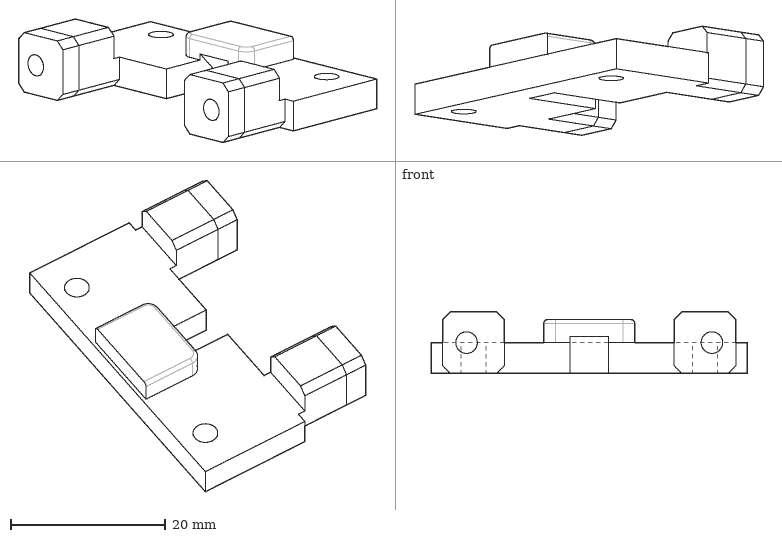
import cadquery as cq

plate_width = 41.0
plate_depth = 15.5
plate_height = 4.0
mount_spacing = 30.0
mount_hole_diameter = 3.2
mount_hole_inset = 3.68

overall_depth = 26.0
arm_size = 8.0
arm_chamfer = 1.0
arm_step_gap = 1.0
cap_thickness = 3.0
cap_hole_diameter = 2.8
cap_hole_offset = 0.9

pad_width = 11.8
pad_depth = 8.72
pad_height = 3.0
pad_inset = 0.5
pad_corner_radius = 1.5
pad_edge_radius = 0.5

slot_width = 5.0
slot_height = 4.8
slot_slope_run = slot_height

arm_center_x = mount_spacing / 2
arm_front_y = -overall_depth
cap_back_y = arm_front_y + cap_thickness
pad_back_y = -pad_inset
pad_front_y = pad_back_y - pad_depth


def arm_bar(center_x, front_y, back_y):
    """Chamfered square bar along Y, resting on Z = 0."""
    return (
        cq.Workplane("XY")
        .box(arm_size, back_y - front_y, arm_size, centered=(True, False, False))
        .edges("|Y")
        .chamfer(arm_chamfer)
        .translate((center_x, front_y, 0))
    )


def make_pad():
    """Pad with rounded front corners and a rounded top rim, square at the rear."""
    pad = (
        cq.Workplane("XY")
        .box(pad_width, pad_depth, pad_height, centered=(True, False, False))
        .edges("|Z and <Y")
        .fillet(pad_corner_radius)
    )
    pad = pad.faces(">Z").edges("not >Y").fillet(pad_edge_radius)
    return pad.translate((0, pad_front_y, plate_height))


def make_slot_cutter():
    """Open-front slot whose end face slopes down and back from the pad's front face."""
    return (
        cq.Workplane("YZ")
        .moveTo(-plate_depth, 0)
        .lineTo(pad_front_y + slot_slope_run, 0)
        .lineTo(pad_front_y, slot_height)
        .lineTo(-plate_depth, slot_height)
        .close()
        .extrude(slot_width / 2, both=True)
    )


def make_arm(center_x):
    """Fixed part of an arm, lowered to the plate height at its neck."""
    arm = arm_bar(center_x, cap_back_y, -plate_depth)
    neck_relief = (
        cq.Workplane("XY")
        .box(arm_size, arm_step_gap, arm_size - plate_height, centered=(True, False, False))
        .translate((center_x, -plate_depth - arm_step_gap, plate_height))
    )
    return arm.cut(neck_relief)


def make_bracket():
    """Plate, pad and both arms as one body, with the mount holes and slot cut."""
    plate = (
        cq.Workplane("XY")
        .box(plate_width, plate_depth, plate_height, centered=(True, False, False))
        .translate((0, -plate_depth, 0))
    )
    mount_holes = (
        cq.Workplane("XY")
        .pushPoints([(side * mount_spacing / 2, -mount_hole_inset) for side in (-1, 1)])
        .circle(mount_hole_diameter / 2)
        .extrude(plate_height)
    )
    bracket = plate.cut(mount_holes).union(make_pad()).cut(make_slot_cutter())
    for side in (-1, 1):
        bracket = bracket.union(make_arm(side * arm_center_x))
    return bracket


def make_end_cap(side):
    """Arm end cap with a through hole set outward of the arm centre."""
    cap = arm_bar(side * arm_center_x, arm_front_y, cap_back_y)
    hole = (
        cq.Workplane("XZ", origin=(0, cap_back_y, 0))
        .center(side * (arm_center_x + cap_hole_offset), arm_size / 2)
        .circle(cap_hole_diameter / 2)
        .extrude(cap_thickness)
    )
    return cap.cut(hole)


bracket = make_bracket()
end_caps = [make_end_cap(side) for side in (-1, 1)]

result = cq.Compound.makeCompound([bracket.val(), *[cap.val() for cap in end_caps]])